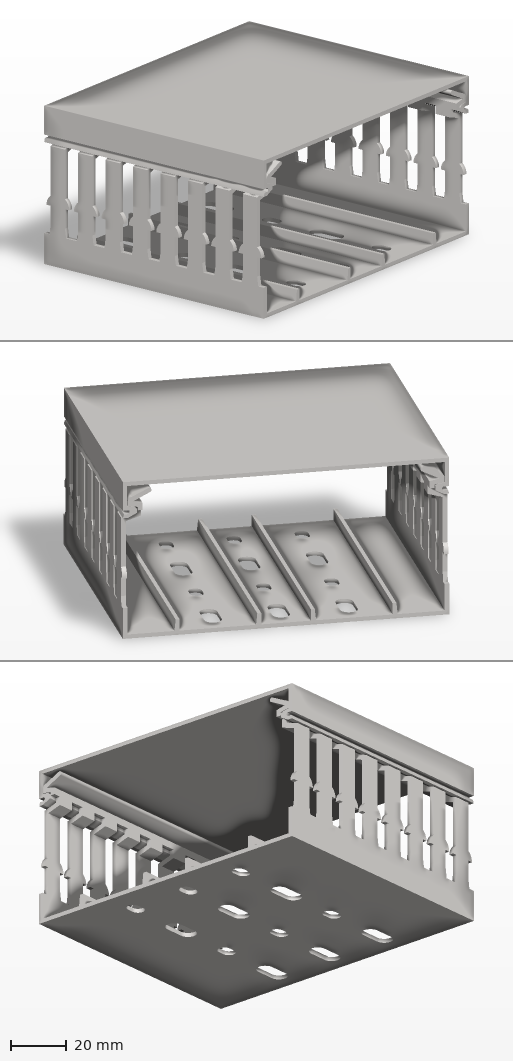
import cadquery as cq
import math


WIDTH = 120.1
HEIGHT = 60.0
LENGTH = 100.0
FINGER_COUNT = 8
PITCH = LENGTH / FINGER_COUNT

WALL = 1.8
FLOOR = 1.6

BEND_DEPTH = 14.7
CHANNEL_INSET = 5.5
CHANNEL_BOTTOM_DEPTH = 13.0
CHANNEL_TOP_DEPTH = 9.8
RIM_INSET = 7.3
RIM_BOTTOM_DEPTH = 14.4
RIM_TOP_DEPTH = 8.5
BEND_INNER_DEPTH = 16.1
LEDGE_DEPTH = 9.2
ARM_START_DEPTH = 7.5
CROTCH_INSET = 3.6
CROTCH_DEPTH = 7.7
ARM_TIP_INSET = 9.7
ARM_TIP_DEPTH = 3.7
ARM_RADIUS = 0.8
ARM_ANGLE = 25.5
ARM_TOP_LENGTH = 6.6

SLOT_WIDTH = 6.0
SLOT_FOOT_WIDTH = 4.9
SLOT_BOTTOM = 11.8
SLOT_FOOT_TOP = 15.4
SLOT_TOP = 48.9
BARB_REACH = 1.9
BARB_BOTTOM = 22.7
BARB_TOP = 26.5
BARB_MIDDLE = (1.5, 24.7)

RIB_INNER_FACES = (9.1, 39.2)
RIB_BASE_WIDTH = 1.9
RIB_TOP_WIDTH = 1.5
RIB_TOP = 5.9

HOLE_ROW_SPACING = 25.0
LONG_HOLE = (14.0, 6.5)
SHORT_HOLE = (7.6, 5.0)

LID_INSET = 0.06
LID_THICKNESS = 1.6
HOOK_TOP_DEPTH = 9.4
NOTCH_TOP_DEPTH = 10.9
NOTCH_BOTTOM_DEPTH = 12.4
NOTCH_INSET = 2.3
NOTCH_TIP_INSET = 2.8
HOOK_SHOULDER_INSET = 4.3
HOOK_SHOULDER_DEPTH = 9.8
HOOK_TIP_INSET = 5.2
HOOK_TIP_TOP_DEPTH = 10.6
HOOK_TIP_BOTTOM_DEPTH = 12.1
LIP_BOTTOM_DEPTH = 13.8
LIP_INSET = 1.9
LIP_CROWN_INSET = 0.5
LIP_MIDDLE_INSET = 0.2


def at(inset, depth):
    """Section point (y, z) from its inset off the +Y face and its depth below the top."""
    return (WIDTH / 2 - inset, HEIGHT - depth)


def mirrored_extrusion(half_section):
    """Extrude a +Y half section along the duct and join it to its mirror image."""
    half = half_section.close().extrude(LENGTH)
    return half.union(half.mirror("XZ")).clean()


def channel():
    """Floor, side walls and snap-in rims, each rim ending in an arm that slopes up and inward."""
    angle = math.radians(ARM_ANGLE)
    along = (math.cos(angle), -math.sin(angle))
    across = (math.sin(angle), math.cos(angle))

    def arm_point(forward, downward):
        """Section point measured along and square to the arm, from the centre of its tip."""
        return at(
            ARM_TIP_INSET + forward * along[0] + downward * across[0],
            ARM_TIP_DEPTH + forward * along[1] + downward * across[1],
        )

    return mirrored_extrusion(
        cq.Workplane("YZ")
        .moveTo(0, 0)
        .lineTo(WIDTH / 2, 0)
        .lineTo(*at(0, BEND_DEPTH))
        .lineTo(*at(CHANNEL_INSET, CHANNEL_BOTTOM_DEPTH))
        .lineTo(*at(CHANNEL_INSET, CHANNEL_TOP_DEPTH))
        .lineTo(*at(WALL, LEDGE_DEPTH))
        .lineTo(*at(WALL, ARM_START_DEPTH))
        .tangentArcPoint(arm_point(-ARM_TOP_LENGTH, -ARM_RADIUS), relative=False)
        .lineTo(*arm_point(0, -ARM_RADIUS))
        .threePointArc(arm_point(ARM_RADIUS, 0), arm_point(0, ARM_RADIUS))
        .lineTo(*at(CROTCH_INSET, CROTCH_DEPTH))
        .lineTo(*at(RIM_INSET, RIM_TOP_DEPTH))
        .lineTo(*at(RIM_INSET, RIM_BOTTOM_DEPTH))
        .lineTo(*at(WALL, BEND_INNER_DEPTH))
        .lineTo(WIDTH / 2 - WALL, FLOOR)
        .lineTo(0, FLOOR)
    )


def rib(inner_face):
    """Floor rib on the +Y side, upright on its inner face and tapered on its outer face."""
    return (
        cq.Workplane("YZ")
        .moveTo(inner_face, 0)
        .lineTo(inner_face + RIB_BASE_WIDTH, 0)
        .lineTo(inner_face + RIB_BASE_WIDTH, FLOOR)
        .lineTo(inner_face + RIB_TOP_WIDTH, RIB_TOP)
        .lineTo(inner_face, RIB_TOP)
        .close()
        .extrude(LENGTH)
    )


def finger_slot(x):
    """Cutter through both walls for the gap between two barbed fingers."""
    side = SLOT_WIDTH / 2
    foot = SLOT_FOOT_WIDTH / 2
    neck = side - BARB_REACH
    middle_reach, middle_z = BARB_MIDDLE
    return (
        cq.Workplane("XZ", origin=(x, WIDTH / 2, 0))
        .moveTo(-foot, SLOT_BOTTOM)
        .lineTo(foot, SLOT_BOTTOM)
        .lineTo(side, SLOT_FOOT_TOP)
        .lineTo(side, BARB_BOTTOM)
        .lineTo(neck, BARB_BOTTOM)
        .threePointArc((side - middle_reach, middle_z), (side, BARB_TOP))
        .lineTo(side, SLOT_TOP)
        .lineTo(-side, SLOT_TOP)
        .lineTo(-side, BARB_TOP)
        .threePointArc((middle_reach - side, middle_z), (-neck, BARB_BOTTOM))
        .lineTo(-side, BARB_BOTTOM)
        .lineTo(-side, SLOT_FOOT_TOP)
        .close()
        .extrude(WIDTH)
    )


def floor_holes(x, size):
    """Cutter for one row of three oblong holes, long side along X."""
    rows = [(x, HOLE_ROW_SPACING * row) for row in (-1, 0, 1)]
    return cq.Workplane("XY").pushPoints(rows).slot2D(*size).extrude(FLOOR)


def make_base():
    body = channel()
    for inner_face in RIB_INNER_FACES:
        body = body.union(rib(inner_face)).union(rib(inner_face).mirror("XZ"))
    for index in range(FINGER_COUNT + 1):
        body = body.cut(finger_slot(index * PITCH))
    for index in range(1, FINGER_COUNT, 2):
        size = LONG_HOLE if index % 4 == 1 else SHORT_HOLE
        body = body.cut(floor_holes(index * PITCH, size))
    return body


def make_lid():
    inner = LID_INSET + LID_THICKNESS
    notch_middle = (NOTCH_TOP_DEPTH + NOTCH_BOTTOM_DEPTH) / 2
    lip_middle = (NOTCH_BOTTOM_DEPTH + LIP_BOTTOM_DEPTH) / 2
    return mirrored_extrusion(
        cq.Workplane("YZ")
        .moveTo(0, HEIGHT)
        .lineTo(*at(LID_INSET, 0))
        .lineTo(*at(LID_INSET, NOTCH_TOP_DEPTH))
        .lineTo(*at(NOTCH_INSET, NOTCH_TOP_DEPTH))
        .lineTo(*at(NOTCH_TIP_INSET, notch_middle))
        .lineTo(*at(NOTCH_INSET, NOTCH_BOTTOM_DEPTH))
        .lineTo(*at(LIP_CROWN_INSET, NOTCH_BOTTOM_DEPTH))
        .threePointArc(at(LIP_MIDDLE_INSET, lip_middle), at(LID_INSET, LIP_BOTTOM_DEPTH))
        .lineTo(*at(LIP_INSET, LIP_BOTTOM_DEPTH))
        .lineTo(*at(HOOK_TIP_INSET, HOOK_TIP_BOTTOM_DEPTH))
        .lineTo(*at(HOOK_TIP_INSET, HOOK_TIP_TOP_DEPTH))
        .lineTo(*at(HOOK_SHOULDER_INSET, HOOK_SHOULDER_DEPTH))
        .lineTo(*at(inner, HOOK_TOP_DEPTH))
        .lineTo(*at(inner, LID_THICKNESS))
        .lineTo(0, HEIGHT - LID_THICKNESS)
    )


base = make_base()
lid = make_lid()

result = cq.Compound.makeCompound([base.val(), lid.val()])